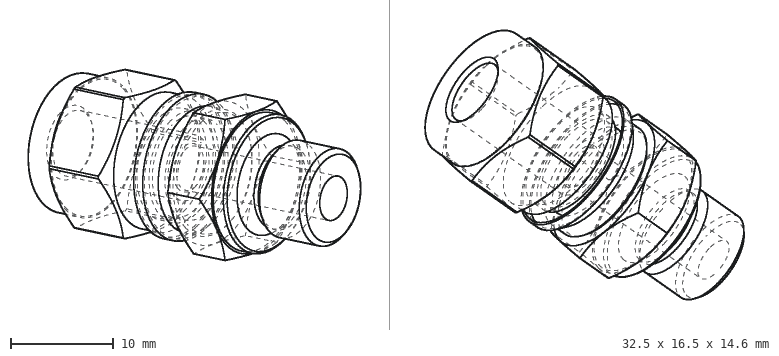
import cadquery as cq
import math

nut_hex_start = 3.0
nut_hex_end = 10.65
nut_end = 12.52
flange_start = 13.5
flange_rim_end = 14.6
shoulder_start = 15.73
body_hex_start = 17.78
body_hex_end = 22.95
collar_end = 24.45
neck_start = 25.85
neck_end = 26.37
thread_start = 27.1
total_length = 32.45

nut_nose_dia = 13.9
nut_tail_dia = 13.6
groove_dia = 11.13
flange_dia = 14.6
shoulder_dia = 12.6
collar_dia = 13.8
cone_dia = 10.1
neck_dia = 8.3
thread_dia = 9.7

cup_dia = 14.1
core_step = 14.0
core_dia = cone_dia
cup_end = 15.57

body_hex_corners = 16.5
nut_hex_corners = 16.35
nut_chamfer_dia = nut_tail_dia
body_chamfer_dia = 14.27
hex_chamfer_angle = math.radians(30)

nose_fillet = 0.5
tail_fillet = 0.2
small_chamfer = 0.25
thread_chamfer = 0.5

tube_dia = 6.55
tube_entry_dia = 7.4
tube_entry_depth = 0.42
tube_depth = 14.6
bore_dia = 4.4
bore_lead_dia = 4.83
bore_lead_depth = (bore_lead_dia - bore_dia) / 2


def cylinder(start, end, diameter):
    """Solid cylinder along X."""
    return cq.Workplane("YZ", origin=(start, 0, 0)).circle(diameter / 2).extrude(end - start)


def cone(start, end, start_dia, end_dia):
    """Solid truncated cone along X."""
    outline = [(start, 0), (start, start_dia / 2), (end, end_dia / 2), (end, 0)]
    return cq.Workplane("XY").polyline(outline).close().revolve(360, (0, 0, 0), (1, 0, 0))


def hexagon(start, end, corner_dia, end_dia):
    """Hexagon with flats at +/-Z, its corners turned to corner_dia and chamfered at both ends."""
    chamfer = (corner_dia - end_dia) / 2 * math.tan(hex_chamfer_angle)
    prism = cq.Workplane("YZ", origin=(start, 0, 0)).polygon(6, body_hex_corners).extrude(end - start)
    outline = [
        (start, 0),
        (start, end_dia / 2),
        (start + chamfer, corner_dia / 2),
        (end - chamfer, corner_dia / 2),
        (end, end_dia / 2),
        (end, 0),
    ]
    envelope = cq.Workplane("XY").polyline(outline).close().revolve(360, (0, 0, 0), (1, 0, 0))
    return prism.intersect(envelope)


def make_nut():
    """Compression nut with a rounded nose and a round tail."""
    nose = cylinder(0, nut_hex_start, nut_nose_dia).faces("<X").edges().fillet(nose_fillet)
    tail = cylinder(nut_hex_end, nut_end, nut_tail_dia).faces(">X").edges().fillet(tail_fillet)
    grip = hexagon(nut_hex_start, nut_hex_end, nut_hex_corners, nut_chamfer_dia)
    return nose.union(grip).union(tail)


def make_body():
    """Fitting body: core, hollow flange, shoulder, hexagon and sealing collar."""
    rim = cylinder(flange_start, flange_rim_end, flange_dia)
    taper = cone(flange_rim_end, shoulder_start, flange_dia, shoulder_dia)
    shoulder = cylinder(shoulder_start, body_hex_start, shoulder_dia).faces(">X").chamfer(small_chamfer)
    grip = hexagon(body_hex_start, body_hex_end, body_hex_corners, body_chamfer_dia)
    collar = cylinder(body_hex_end, collar_end, collar_dia).faces(">X").chamfer(small_chamfer)
    cup = cylinder(flange_start, flange_rim_end, cup_dia)
    cup_floor = cone(flange_rim_end, cup_end, cup_dia, core_dia)
    groove = cylinder(nut_end, core_step, groove_dia)
    core = cylinder(core_step, cup_end, core_dia)
    flange = rim.union(taper).cut(cup).cut(cup_floor)
    return groove.union(core).union(flange).union(shoulder).union(grip).union(collar)


def make_stud():
    """Male end: cone down to a relief neck, then the plain thread cylinder."""
    lead_in = cone(collar_end, neck_start, cone_dia, neck_dia)
    neck = cylinder(neck_start, neck_end, neck_dia)
    lead_out = cone(neck_end, thread_start, neck_dia, thread_dia)
    thread = cylinder(thread_start, total_length, thread_dia).faces(">X").chamfer(thread_chamfer)
    return lead_in.union(neck).union(lead_out).union(thread)


def make_bore():
    """Stepped passage: tube socket with a flared mouth, then a chamfered through bore."""
    mouth = cone(0, tube_entry_depth, tube_entry_dia, tube_dia)
    socket = cylinder(0, tube_depth, tube_dia)
    bore_lead = cone(tube_depth, tube_depth + bore_lead_depth, bore_lead_dia, bore_dia)
    passage = cylinder(0, total_length, bore_dia)
    return mouth.union(socket).union(bore_lead).union(passage)


result = make_nut().union(make_body()).union(make_stud()).cut(make_bore())